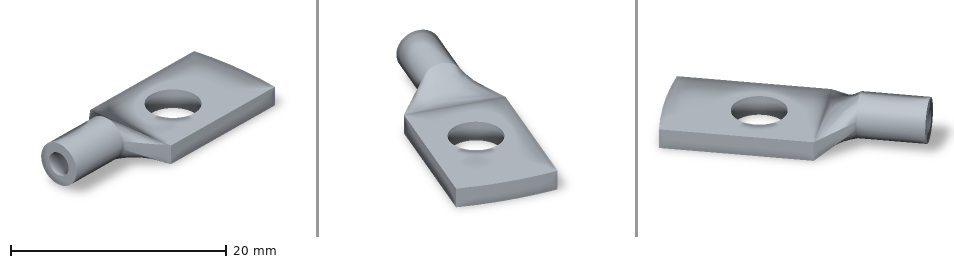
import cadquery as cq
import math

tongue_width = 10.0
tongue_thickness = 2.0
end_sagitta = 0.35
hole_diameter = 5.3
hole_setback = 5.96

barrel_diameter = 4.4
barrel_length = 6.5
bore_diameter = 2.4
barrel_axis_z = 2.45

total_length = 24.95
neck_length = 3.52
tongue_start = barrel_length + neck_length
corner_y = total_length - end_sagitta
hole_y = tongue_start + hole_setback


def section_plane(y, z):
    """Plane facing -Y, with local x along X and local y along Z."""
    return cq.Plane(origin=(0, y, z), xDir=(1, 0, 0), normal=(0, -1, 0))


def make_tongue():
    half_width = tongue_width / 2
    plate = (
        cq.Workplane("XY")
        .moveTo(-half_width, tongue_start)
        .lineTo(half_width, tongue_start)
        .lineTo(half_width, corner_y)
        .threePointArc((0, total_length), (-half_width, corner_y))
        .close()
        .extrude(tongue_thickness)
    )
    hole = (
        cq.Workplane("XY")
        .center(0, hole_y)
        .circle(hole_diameter / 2)
        .extrude(tongue_thickness)
    )
    return plate.cut(hole)


def make_neck():
    """Transition from the round barrel to the rectangular tongue.

    The circle is split at the directions of the rectangle's corners, so that
    each of its four arcs is joined to one side of the rectangle.
    """
    radius = barrel_diameter / 2
    corner_angle = math.atan2(tongue_thickness, tongue_width)
    split_x = radius * math.cos(corner_angle)
    split_z = radius * math.sin(corner_angle)
    round_end = (
        cq.Workplane(section_plane(barrel_length, barrel_axis_z))
        .moveTo(-split_x, -split_z)
        .threePointArc((0, -radius), (split_x, -split_z))
        .threePointArc((radius, 0), (split_x, split_z))
        .threePointArc((0, radius), (-split_x, split_z))
        .threePointArc((-radius, 0), (-split_x, -split_z))
        .close()
    )
    flat_end = cq.Workplane(section_plane(tongue_start, tongue_thickness / 2)).rect(
        tongue_width, tongue_thickness
    )
    return cq.Workplane(cq.Solid.makeLoft([round_end.val(), flat_end.val()], True))


def make_barrel():
    """Tube whose blind bore ends at the neck."""
    return (
        cq.Workplane(section_plane(0, barrel_axis_z))
        .circle(barrel_diameter / 2)
        .circle(bore_diameter / 2)
        .extrude(-barrel_length)
    )


result = make_tongue().union(make_neck()).union(make_barrel())